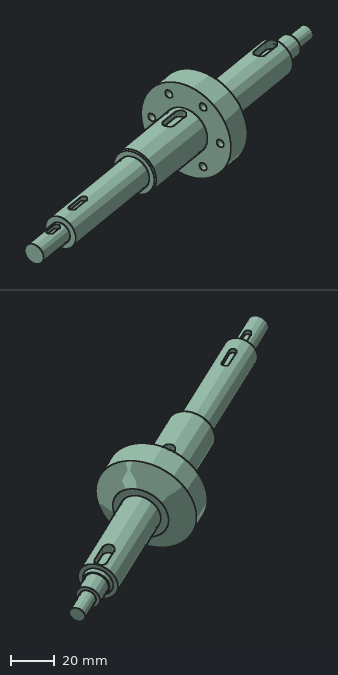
import cadquery as cq

total_length = 221.5

drive_end = 21.5
journal_end = 81.3
flange_face = 123.5
rim_end = 137.0
cone_end = 143.8
body_end = 196.0
collar_end = 197.8
neck_end = 208.2

drive_diameter = 10.6
journal_diameter = 17.0
hub_diameter = 24.0
flange_diameter = 50.0
cone_small_diameter = 27.7
body_diameter = 20.0
collar_large_diameter = 15.0
collar_small_diameter = 13.0
neck_diameter = 12.0
tip_diameter = 8.0

hub_chamfer = 0.7

hole_count = 6
hole_diameter = 4.0
hole_circle_diameter = 38.0
hole_depth = 10.0

wide_key_width = 6.0
wide_key_length = 15.0
body_key_depth = 5.0
hub_key_depth = 3.5
narrow_key_width = 3.5
narrow_key_depth = 2.5
journal_key_length = 12.6
drive_key_length = 8.6
body_key_center = 188.0
hub_key_center = 114.0
journal_key_center = 35.7
drive_key_center = 15.5


def section(start, end, start_diameter, end_diameter):
    """Turned length of the shaft, tapered when its two diameters differ."""
    start_radius = start_diameter / 2
    end_radius = end_diameter / 2
    profile = cq.Workplane("XY").polyline([(0, start), (start_radius, start), (end_radius, end), (0, end)])
    return profile.close().revolve(360, (0, 0, 0), (0, 1, 0))


def keyway(center, length, width, depth, shaft_diameter):
    """Round-ended cutter reaching from the keyway floor to the shaft's crest."""
    floor_height = shaft_diameter / 2 - depth
    slot = cq.Workplane("XY").workplane(offset=floor_height).center(0, center)
    return slot.slot2D(length, width, 90).extrude(depth)


def bolt_holes():
    """Ring of cutters sunk into the flange face, two of them on the X axis."""
    face = cq.Workplane("XZ", origin=(0, flange_face, 0))
    ring = face.polarArray(hole_circle_diameter / 2, 0, 360, hole_count)
    return ring.circle(hole_diameter / 2).extrude(-hole_depth)


hub_chamfer_end = journal_end + hub_chamfer
hub_chamfer_diameter = hub_diameter - 2 * hub_chamfer
shaft_sections = [
    (0, drive_end, drive_diameter, drive_diameter),
    (drive_end, journal_end, journal_diameter, journal_diameter),
    (journal_end, hub_chamfer_end, hub_chamfer_diameter, hub_diameter),
    (hub_chamfer_end, flange_face, hub_diameter, hub_diameter),
    (flange_face, rim_end, flange_diameter, flange_diameter),
    (rim_end, cone_end, flange_diameter, cone_small_diameter),
    (cone_end, body_end, body_diameter, body_diameter),
    (body_end, collar_end, collar_large_diameter, collar_small_diameter),
    (collar_end, neck_end, neck_diameter, neck_diameter),
    (neck_end, total_length, tip_diameter, tip_diameter),
]
shaft = cq.Workplane("XY")
for dimensions in shaft_sections:
    shaft = shaft.union(section(*dimensions))

result = shaft.cut(bolt_holes())
keyways = [
    (body_key_center, wide_key_length, wide_key_width, body_key_depth, body_diameter),
    (hub_key_center, wide_key_length, wide_key_width, hub_key_depth, hub_diameter),
    (journal_key_center, journal_key_length, narrow_key_width, narrow_key_depth, journal_diameter),
    (drive_key_center, drive_key_length, narrow_key_width, narrow_key_depth, drive_diameter),
]
for dimensions in keyways:
    result = result.cut(keyway(*dimensions))